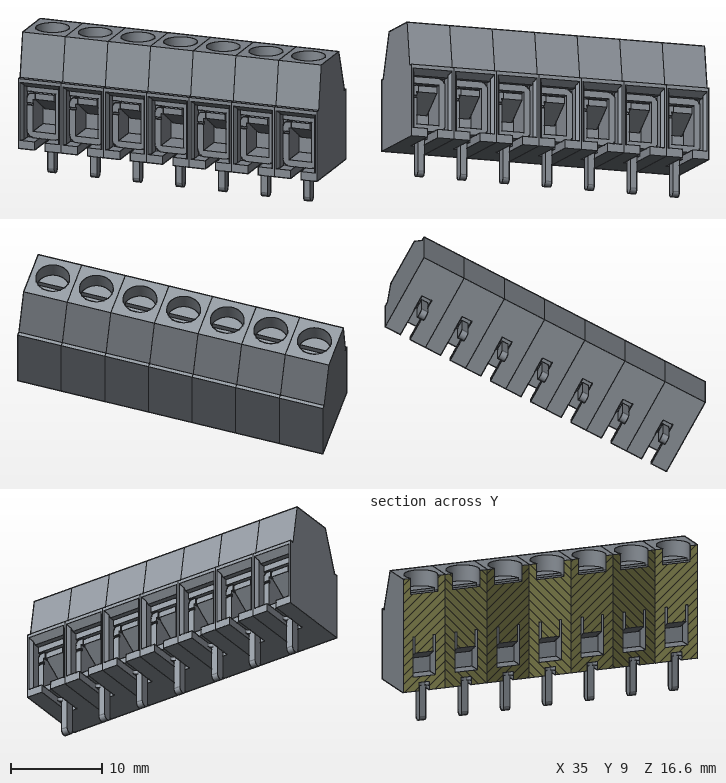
import cadquery as cq


total_length = 35.0
pole_count = 7
pitch = total_length / pole_count

depth = 9.0
height = 13.0
shoulder_z = 8.0
front_ledge = 0.5
front_slope_run = 0.8
back_ledge = 0.45
back_slope_run = 1.8

screw_y = 4.0
screw_diameter = 3.7
screw_recess = 1.82
driver_slot_width = 0.85
driver_slot_depth = 0.6

pin_length = 3.6
pin_width = 0.77
pin_depth = 1.05

entry_floor_z = 0.95
entry_top_z = 7.6
entry_wall = 0.2
side_flare = 0.28
side_flare_depth = 0.5
top_flare = 0.63
top_flare_depth = 0.8
entry_depth = 1.4
inner_width = pitch - 2 * (entry_wall + side_flare)
inner_top_z = entry_top_z - top_flare

slot_width = 1.2
slot_depth = screw_y - pin_depth / 2
slot_end_radius = 0.4
groove_height = 0.5
groove_depth = screw_y + pin_depth

clamp_corner_radius = 0.8
corner_relief_depth = 0.2
cavity_width = 2.62
cavity_floor_z = 1.68
cavity_top_z = 6.23
cavity_depth = 3.15
cavity_back_y = entry_depth + cavity_depth

tongue_top_z = 6.02
tongue_bottom_z = 5.32
tongue_setback = 0.18
arm_depth = 0.52
tongue_width = 2.2
tongue_root_z = 3.4
tongue_top_run = 0.52

arm_bottom_z = 4.9
leg_top_z = 4.65
arm_corner_radius = 0.52
gap_depth = 0.2


def box(width, y0, y1, z0, z1, x_mid=0):
    """Box of the given width between two Y planes and two Z planes."""
    centre = (x_mid, (y0 + y1) / 2, (z0 + z1) / 2)
    return cq.Workplane("XY").box(width, y1 - y0, z1 - z0).translate(centre)


def extrude_across(points, width):
    """Extrude a (Y, Z) outline along X, centred on the pole."""
    return cq.Workplane("YZ", origin=(-width / 2, 0, 0)).polyline(points).close().extrude(width)


def housing_block():
    outline = [
        (0, 0),
        (depth, 0),
        (depth, shoulder_z),
        (depth - back_ledge, shoulder_z),
        (depth - back_ledge - back_slope_run, height),
        (front_ledge + front_slope_run, height),
        (front_ledge, shoulder_z),
        (0, shoulder_z),
    ]
    return extrude_across(outline, pitch)


def screw_recess_cut():
    screw_face_z = height - screw_recess
    slot_floor_z = screw_face_z - driver_slot_depth
    bore = (
        cq.Workplane("XY", origin=(0, screw_y, slot_floor_z))
        .circle(screw_diameter / 2)
        .extrude(height - slot_floor_z)
    )
    half_slot = driver_slot_width / 2
    radius = screw_diameter / 2
    head_back = box(screw_diameter, screw_y + half_slot, screw_y + radius, slot_floor_z, screw_face_z)
    head_front = box(screw_diameter, screw_y - radius, screw_y - half_slot, slot_floor_z, screw_face_z)
    return bore.cut(head_back).cut(head_front)


def wire_entry_cut():
    half_inner = inner_width / 2
    half_outer = half_inner + side_flare
    plan = [
        (-half_outer, 0),
        (half_outer, 0),
        (half_inner, side_flare_depth),
        (half_inner, entry_depth),
        (-half_inner, entry_depth),
        (-half_inner, side_flare_depth),
    ]
    side_profile = [
        (0, entry_floor_z),
        (entry_depth, entry_floor_z),
        (entry_depth, inner_top_z),
        (top_flare_depth, inner_top_z),
        (0, entry_top_z),
    ]
    column = cq.Workplane("XY").polyline(plan).close().extrude(height)
    return column.intersect(extrude_across(side_profile, pitch))


def floor_slot_cut():
    slot = box(slot_width, 0, slot_depth, 0, entry_floor_z).edges(">Y and |Z").fillet(slot_end_radius)
    groove = box(slot_width, 0, groove_depth, 0, groove_height)
    return slot.union(groove)


def clamp_corner_reliefs():
    """Small recesses outside the rounded corners of the clamp; its upper left corner is square."""
    y1 = entry_depth + corner_relief_depth
    full = box(inner_width, entry_depth, y1, entry_floor_z, inner_top_z)
    rounded = full.edges("|Y").edges(">X or <Z").fillet(clamp_corner_radius)
    return full.cut(rounded)


def clamp_side_gaps():
    """Gaps that part the end of the arm from the clamp above and below it."""
    y1 = entry_depth + gap_depth
    leg_width = (inner_width - cavity_width) / 2
    leg_mid = -(cavity_width + leg_width) / 2
    around_arm = box(leg_width, entry_depth, y1, leg_top_z, cavity_top_z, leg_mid)
    arm = box(leg_width, entry_depth, y1, arm_bottom_z, tongue_top_z, leg_mid)
    arm = arm.edges("|Y").edges("<X and >Z").fillet(arm_corner_radius)
    return around_arm.cut(arm)


def clamp_cavity_cut():
    cavity = box(cavity_width, entry_depth, cavity_back_y, cavity_floor_z, cavity_top_z)
    arm_reach = (cavity_width - tongue_width) / 2
    arm_mid = (arm_reach - cavity_width) / 2
    arm_back_y = entry_depth + arm_depth
    arm = box(arm_reach, entry_depth, arm_back_y, tongue_bottom_z, tongue_top_z, arm_mid)
    return cavity.cut(arm)


def clamp_tongue():
    """Wedge that thickens from the entry side to the back of the clamp cavity."""
    front_y = entry_depth + tongue_setback
    outline = [
        (front_y, tongue_bottom_z),
        (cavity_back_y, tongue_root_z),
        (cavity_back_y, cavity_top_z),
        (front_y + tongue_top_run, cavity_top_z),
        (front_y, tongue_top_z),
    ]
    return extrude_across(outline, tongue_width)


def solder_pin():
    tip_radius = pin_depth / 2
    pin = box(pin_width, screw_y - tip_radius, screw_y + tip_radius, tip_radius - pin_length, groove_height)
    tip = (
        cq.Workplane("YZ", origin=(-pin_width / 2, screw_y, tip_radius - pin_length))
        .circle(tip_radius)
        .extrude(pin_width)
    )
    return pin.union(tip)


def terminal_pole():
    return (
        housing_block()
        .cut(screw_recess_cut())
        .cut(wire_entry_cut())
        .cut(floor_slot_cut())
        .cut(clamp_corner_reliefs())
        .cut(clamp_side_gaps())
        .cut(clamp_cavity_cut())
        .union(clamp_tongue())
        .union(solder_pin())
    )


pole = terminal_pole()
poles = []
for index in range(pole_count):
    pole_x = (index + 0.5) * pitch
    poles.append(pole.translate((pole_x, 0, 0)).val())

result = cq.Compound.makeCompound(poles)